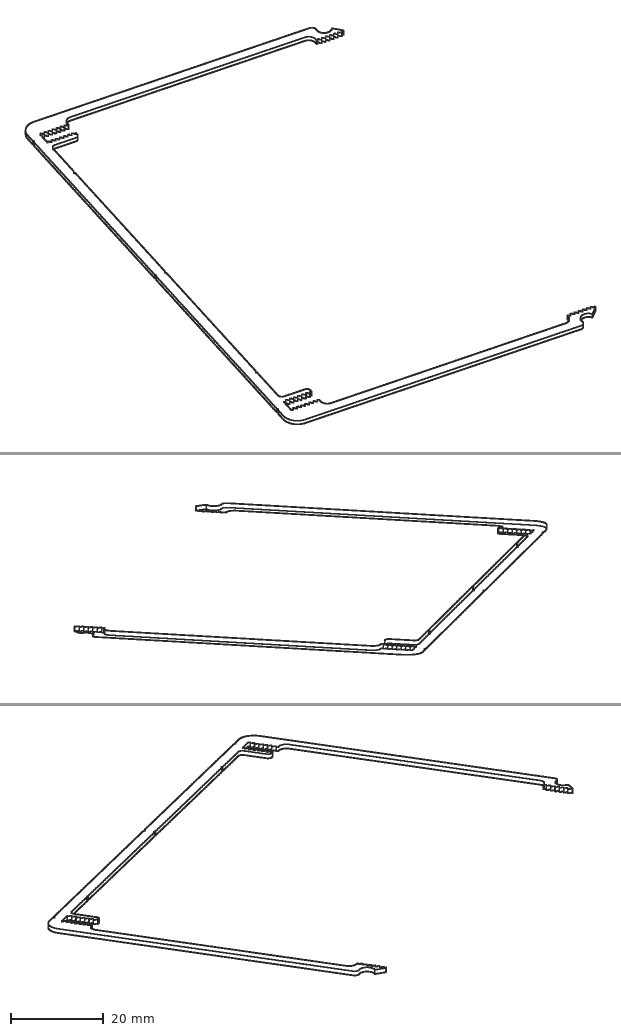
import cadquery as cq
import math

width = 120.0
depth = 77.3
thickness = 1.0

side_wall = 2.4
front_wall = 2.5
outer_x = -width / 2
front_y = -depth / 2
back_y = depth / 2
inner_x = outer_x + side_wall
floor_y = front_y + front_wall

corner_radius = 3.5
blend_radius = 1.7
wall_end_radius = 1.0
finger_root_radius = 1.0
finger_tip_radius = 0.8

thread_pitch = 1.0
half_pitch = thread_pitch / 2
wave_radius = thread_pitch / 4
channel_waves = 14
hook_waves = 13

channel_x = -55.5
channel_width = 3.2
finger_inner_x = channel_x + channel_width
finger_thickness = 1.5
finger_outer_x = finger_inner_x + finger_thickness
channel_top_y = floor_y + channel_waves * half_pitch

wall_top_y = 33.7
hook_root_land = 0.2
hook_root_y = back_y - hook_waves * half_pitch - hook_root_land
neck_radius = 1.7
neck_x = -58.5
neck_y = wall_top_y + neck_radius
barb_x = -57.6
barb_y = neck_y + math.sqrt(neck_radius**2 - (barb_x - neck_x) ** 2)
lead_in_x = barb_x + (back_y - barb_y)

groove_depth = 0.2
groove_half_width = 0.3
outer_groove_spacing = 54.0
inner_groove_spacing = 40.2


def round_corner(outline, corner, radius, start_dir, end_dir):
    """Draw up to a right-angled corner, then round it with a quarter arc.

    start_dir and end_dir are unit vectors from the corner back along the incoming
    side and onward along the outgoing side.
    """
    inset = radius * (1 - math.sqrt(0.5))

    def from_corner(along_start, along_end):
        return tuple(c + along_start * s + along_end * e for c, s, e in zip(corner, start_dir, end_dir))

    outline = outline.lineTo(*from_corner(radius, 0))
    return outline.threePointArc(from_corner(inset, inset), from_corner(0, radius))


def add_thread(outline, x, start_y, direction, waves, first_side):
    """Draw half-round waves along the line at x, toward +Y or -Y as direction is +1 or -1.

    The first wave bulges toward first_side (+1 for +X, -1 for -X) and the rest alternate.
    """
    for i in range(waves):
        side = first_side * (-1) ** i
        middle_y = start_y + direction * (i + 0.5) * half_pitch
        end_y = start_y + direction * (i + 1) * half_pitch
        outline = outline.threePointArc((x + side * wave_radius, middle_y), (x, end_y))
    return outline


def left_half_outline():
    """Left half of the U, from the front middle round the outside and back along the inside."""
    left, right, front, back = (-1, 0), (1, 0), (0, -1), (0, 1)

    outline = cq.Workplane("XY").moveTo(0, front_y)
    outline = round_corner(outline, (outer_x, front_y), corner_radius, right, back)
    outline = round_corner(outline, (outer_x, wall_top_y), wall_end_radius, front, right)

    outline = outline.lineTo(neck_x, wall_top_y)
    outline = outline.threePointArc((neck_x + neck_radius, neck_y), (barb_x, barb_y))
    outline = outline.lineTo(lead_in_x, back_y).lineTo(channel_x, back_y)
    outline = add_thread(outline, channel_x, back_y, -1, hook_waves, -1)
    outline = outline.lineTo(channel_x, hook_root_y)

    outline = round_corner(outline, (inner_x, hook_root_y), blend_radius, right, front)
    outline = round_corner(outline, (inner_x, channel_top_y), blend_radius, back, right)

    outline = outline.lineTo(channel_x, channel_top_y)
    outline = add_thread(outline, channel_x, channel_top_y, -1, channel_waves, 1)
    outline = outline.lineTo(finger_inner_x, floor_y)
    outline = add_thread(outline, finger_inner_x, floor_y, 1, channel_waves, -1)

    outline = round_corner(outline, (finger_outer_x, channel_top_y), finger_tip_radius, left, front)
    outline = round_corner(outline, (finger_outer_x, floor_y), finger_root_radius, back, right)
    return outline.lineTo(0, floor_y).close()


def marking_groove(x, face_y, into_y):
    """Triangular cutter entering the wall face at face_y toward into_y (+1 or -1)."""
    points = [
        (x - groove_half_width, face_y),
        (x + groove_half_width, face_y),
        (x, face_y + into_y * groove_depth),
    ]
    return cq.Workplane("XY").polyline(points).close().extrude(thickness)


left_half = left_half_outline().extrude(thickness)
result = left_half.union(left_half.mirror("YZ"))

for side in (-1, 0, 1):
    result = result.cut(marking_groove(side * outer_groove_spacing, front_y, 1))
    result = result.cut(marking_groove(side * inner_groove_spacing, floor_y, -1))